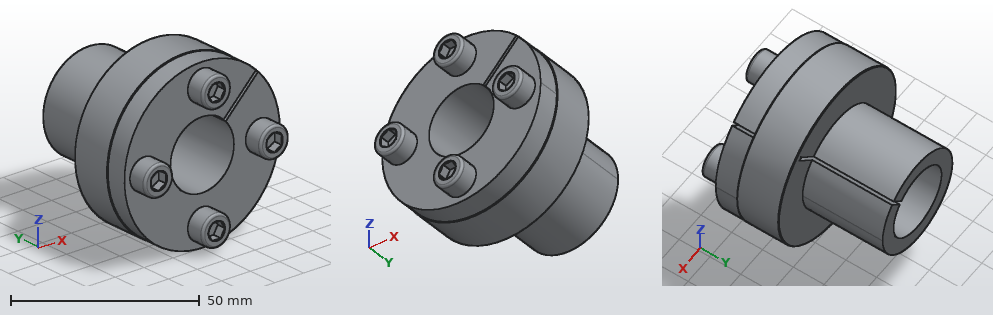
import cadquery as cq
import math

ring_diameter = 54.0
ring_length = 13.6
ring_chamfer = 0.2
flange_diameter = 53.8
flange_thickness = 6.9
sleeve_diameter = 32.0
sleeve_length = 26.0
bore_diameter = 22.0
hub_length = flange_thickness + ring_length + sleeve_length

slit_angle = 45.0
slit_width = 1.0
slit_reach = 24.0

screw_count = 4
screw_circle_diameter = 40.0
head_diameter = 10.0
head_height = 6.0
head_fillet = 0.75
socket_width = 5.0
socket_depth = 3.0
socket_corner_diameter = socket_width / math.cos(math.pi / 6)
socket_bevel_angle = 30.0


def rod(diameter, start, length):
    """Cylinder on the hub axis, from Y = start towards +Y."""
    plane = cq.Plane(origin=(0, start, 0), xDir=(1, 0, 0), normal=(0, 1, 0))
    return cq.Workplane(plane).circle(diameter / 2).extrude(length)


def slit_cutter(outer_radius, length):
    """Slab from the hub axis out to outer_radius at the slit angle, from Y = 0 towards +Y."""
    slab = cq.Workplane("XY").box(outer_radius, length, slit_width, centered=(False, False, True))
    return slab.rotate((0, 0, 0), (0, 1, 0), -slit_angle)


def make_hub():
    """Flange, chamfered ring and sleeve in one piece, bored through and slit."""
    flange = rod(flange_diameter, 0, flange_thickness)
    ring = rod(ring_diameter, flange_thickness, ring_length).faces("<Y or >Y").edges().chamfer(ring_chamfer)
    sleeve = rod(sleeve_diameter, flange_thickness + ring_length, sleeve_length)
    hub = flange.union(ring).union(sleeve)
    hub = hub.cut(rod(bore_diameter, 0, hub_length))
    hub = hub.cut(slit_cutter(slit_reach, hub_length))
    return hub.cut(slit_cutter(ring_diameter, flange_thickness))


def socket_cutter():
    """Hexagonal socket with a conical lead-in, sunk into the end face of a screw at the origin."""
    hexagon = (
        cq.Workplane("XZ", origin=(0, -head_height, 0))
        .polygon(6, socket_corner_diameter)
        .extrude(-socket_depth)
    )
    bevel_radius = socket_corner_diameter / 2
    bevel_depth = bevel_radius * math.tan(math.radians(socket_bevel_angle))
    bevel = cq.Solid.makeCone(bevel_radius, 0, bevel_depth, cq.Vector(0, -head_height, 0), cq.Vector(0, 1, 0))
    return hexagon.union(cq.Workplane(bevel))


def make_screw(angle):
    """Socket head seated on the flange front face, turned about the hub axis by angle from +Z."""
    head = cq.Workplane("XZ").circle(head_diameter / 2).extrude(head_height)
    head = head.faces("<Y").edges().fillet(head_fillet)
    head = head.cut(socket_cutter())
    return head.translate((0, 0, screw_circle_diameter / 2)).rotate((0, 0, 0), (0, 1, 0), angle)


hub = make_hub()
screws = [make_screw(360 / screw_count * i) for i in range(screw_count)]

result = cq.Compound.makeCompound([hub.val(), *[screw.val() for screw in screws]])